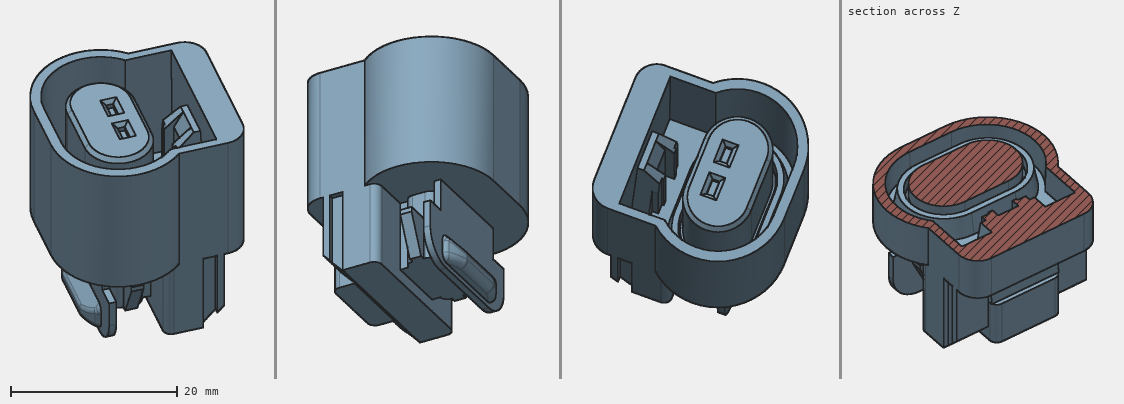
import cadquery as cq


SHROUD_HEIGHT = 17.6
HALF_STRAIGHT = 3.28
SHROUD_RADIUS = 8.53
BOX_HALF_WIDTH = 9.7
BOX_BACK = 14.6
BOX_CORNER_RADIUS = 2.8

FLOOR_Z = 2.0
CAVITY_BACK = 10.7
CAVITY_HALF_WIDTH_TOP = 8.62
CAVITY_HALF_WIDTH_FLOOR = 8.38
CAVITY_RADIUS_TOP = 7.22
CAVITY_RADIUS_FLOOR = 7.12
CAVITY_STRAIGHT_FLOOR = 3.08

CORE_RADIUS = 4.25
CORE_TOP = 16.5
CORE_CHAMFER = 0.55
CORE_FOOT_RADIUS = 4.57
CORE_FOOT_TOP = 4.0
RING_INNER_RADIUS = 4.8
RING_OUTER_RADIUS = 6.12
RING_TOP = 5.0
RING_TOP_RADIUS = 5.58

TERMINAL_X = 2.22
TERMINAL_Y = 1.08
FUNNEL_SIZE = (3.05, 2.05)
TERMINAL_SIZE = (2.0, 0.9)
FUNNEL_DEPTH = 0.5
TERMINAL_DEPTH = 1.1

LATCH_TOP = 13.9
LATCH_TOP_HALF_WIDTH = 2.5
LATCH_HALF_WIDTH = 4.75
LATCH_TOP_FRONT = 9.85
LATCH_SHOULDER_FRONT = 8.5
LATCH_ARM_FRONT = 7.7
LATCH_ARM_HALF_WIDTH = 3.3
LATCH_LIP_FRONT = 7.45
LATCH_LIP_HALF_WIDTH = 2.1
LATCH_NOTCH_HALF_WIDTH = 1.48
LATCH_NOTCH_BACK = 8.65
LATCH_RAMP_BOTTOM = 11.8

BLOCK_FRONT = 3.87
BLOCK_BACK = 11.35
BLOCK_BOTTOM = -10.97
BLOCK_CORNER_RADIUS = 1.05
BLOCK_CHAMFER_Y = 2.68
BLOCK_CHAMFER_Z = 2.85
GROOVE_FRONT = 8.67
GROOVE_BACK = 10.45
GROOVE_DEPTH = 0.7

HANDLE_HALF_WIDTH = 5.0
HANDLE_BACK = 12.72
HANDLE_FRONT = 9.6
HANDLE_TOP = -4.1
HANDLE_BOTTOM = -10.1
HANDLE_CORNER_RADIUS = 1.05
HANDLE_ARM_BACK_TOP = 11.75
HANDLE_ARM_BACK_BOTTOM = 12.1

BODY_BOTTOM = -9.3
BODY_FRONT = -1.45
BODY_BACK = 2.8
BODY_HALF_WIDTH = 4.95
BODY_FRONT_RADIUS = 1.45
BODY_BACK_RADIUS = 1.13
WEB_HALF_WIDTH = 4.0

RIB_HALF_WIDTH = 8.0
RIB_FOOT_HALF_WIDTH = 5.6
RIB_TOP = -3.65
RIB_EDGE_BOTTOM = -4.3
RIB_FRONT = 0.13
RIB_BACK = 1.67

TAB_BACK = -2.2
TAB_FRONT = -3.12
TAB_NECK_HALF_WIDTH = 6.6
TAB_HALF_WIDTH = 9.22
TAB_SHOULDER_Z = -4.3
TAB_BOTTOM = -11.7
TAB_CORNER_RADIUS = 3.9
GRIP_HALF_WIDTH = 6.2
GRIP_FACE_HALF_WIDTH = 3.3
GRIP_FRONT = -4.93
GRIP_SIDE_FRONT = -3.6
GRIP_BOW = 0.2
GRIP_TOP = -7.25
GRIP_RAMP_BOTTOM = -9.05
GRIP_BOTTOM = -11.0
GRIP_BOTTOM_RADIUS = 1.0
GRIP_RAMP_RADIUS = 0.8
GRIP_SIDE_RADIUS = 0.7


def box(x_range, y_range, z_range):
    """Axis-aligned box between the given limits."""
    size = [high - low for low, high in (x_range, y_range, z_range)]
    corner = (x_range[0], y_range[0], z_range[0])
    return cq.Workplane("XY").box(*size, centered=False).translate(corner)


def oval(radius, bottom, top):
    """Upright oval column with semicircular ends in X."""
    length = 2 * (HALF_STRAIGHT + radius)
    return cq.Workplane("XY", origin=(0, 0, bottom)).slot2D(length, 2 * radius).extrude(top - bottom)


def across_x(points, half_width):
    """Prism with a (Y, Z) outline, symmetric about X = 0."""
    return cq.Workplane("YZ").polyline(points).close().extrude(half_width, both=True)


def along_y(points, front, back):
    """Prism with an (X, Z) outline between two Y positions."""
    return cq.Workplane("XZ", origin=(0, back, 0)).polyline(points).close().extrude(back - front)


def make_shroud():
    """Outer wall: an oval merged with the latch box."""
    latch_box = box((-BOX_HALF_WIDTH, BOX_HALF_WIDTH), (0, BOX_BACK), (0, SHROUD_HEIGHT))
    latch_box = latch_box.edges("|Z and >Y").fillet(BOX_CORNER_RADIUS)
    return oval(SHROUD_RADIUS, 0, SHROUD_HEIGHT).union(latch_box)


def make_cavity():
    """Drafted space inside the shroud."""
    top_length = 2 * (HALF_STRAIGHT + CAVITY_RADIUS_TOP)
    floor_length = 2 * (CAVITY_STRAIGHT_FLOOR + CAVITY_RADIUS_FLOOR)
    oval_space = (
        cq.Workplane("XY", origin=(0, 0, FLOOR_Z))
        .slot2D(floor_length, 2 * CAVITY_RADIUS_FLOOR)
        .workplane(offset=SHROUD_HEIGHT - FLOOR_Z)
        .slot2D(top_length, 2 * CAVITY_RADIUS_TOP)
        .loft(ruled=True)
    )
    box_outline = [
        (-CAVITY_HALF_WIDTH_FLOOR, FLOOR_Z),
        (CAVITY_HALF_WIDTH_FLOOR, FLOOR_Z),
        (CAVITY_HALF_WIDTH_TOP, SHROUD_HEIGHT),
        (-CAVITY_HALF_WIDTH_TOP, SHROUD_HEIGHT),
    ]
    return oval_space.union(along_y(box_outline, 0, CAVITY_BACK))


def make_core():
    """Chamfered mating core on a slightly wider foot."""
    core = oval(CORE_RADIUS, FLOOR_Z, CORE_TOP).faces(">Z").chamfer(CORE_CHAMFER)
    return core.union(oval(CORE_FOOT_RADIUS, FLOOR_Z, CORE_FOOT_TOP))


def make_ring():
    """Seal ring with a drafted outside, standing on the cavity floor around the core."""
    height = RING_TOP - FLOOR_Z
    ring = (
        cq.Workplane("XY", origin=(0, 0, FLOOR_Z))
        .slot2D(2 * (HALF_STRAIGHT + RING_OUTER_RADIUS), 2 * RING_OUTER_RADIUS)
        .workplane(offset=height)
        .slot2D(2 * (HALF_STRAIGHT + RING_TOP_RADIUS), 2 * RING_TOP_RADIUS)
        .loft(ruled=True)
    )
    return ring.cut(oval(RING_INNER_RADIUS, FLOOR_Z, RING_TOP))


def make_terminal_opening(x):
    """Funnel and straight pocket for one terminal."""
    funnel = (
        cq.Workplane("XY", origin=(x, TERMINAL_Y, CORE_TOP))
        .rect(*FUNNEL_SIZE)
        .workplane(offset=-FUNNEL_DEPTH)
        .rect(*TERMINAL_SIZE)
        .loft(ruled=True)
    )
    pocket = (
        cq.Workplane("XY", origin=(x, TERMINAL_Y, CORE_TOP - TERMINAL_DEPTH))
        .rect(*TERMINAL_SIZE)
        .extrude(TERMINAL_DEPTH)
    )
    return funnel.union(pocket)


def make_latch_head():
    """Tapered latch head with a sloped, notched front."""
    back = CAVITY_BACK
    taper = along_y(
        [
            (-LATCH_HALF_WIDTH, FLOOR_Z),
            (LATCH_HALF_WIDTH, FLOOR_Z),
            (LATCH_TOP_HALF_WIDTH, LATCH_TOP),
            (-LATCH_TOP_HALF_WIDTH, LATCH_TOP),
        ],
        LATCH_LIP_FRONT,
        back,
    )
    height = (FLOOR_Z, LATCH_TOP)
    footprint = box((-LATCH_HALF_WIDTH, LATCH_HALF_WIDTH), (LATCH_SHOULDER_FRONT, back), height)
    steps = ((LATCH_ARM_HALF_WIDTH, LATCH_ARM_FRONT), (LATCH_LIP_HALF_WIDTH, LATCH_LIP_FRONT))
    for half_width, front in steps:
        footprint = footprint.union(box((-half_width, half_width), (front, back), height))

    def side_profile(front):
        """(Y, Z) outline with the sloped front ending at the given Y."""
        return [
            (back, FLOOR_Z),
            (back, LATCH_TOP),
            (LATCH_TOP_FRONT, LATCH_TOP),
            (front, LATCH_RAMP_BOTTOM),
            (front, FLOOR_Z),
        ]

    ramped = across_x(side_profile(LATCH_LIP_FRONT), LATCH_HALF_WIDTH)
    notch = box(
        (-LATCH_NOTCH_HALF_WIDTH, LATCH_NOTCH_HALF_WIDTH),
        (LATCH_LIP_FRONT, back),
        height,
    ).cut(across_x(side_profile(LATCH_NOTCH_BACK), LATCH_NOTCH_HALF_WIDTH))
    return taper.intersect(footprint).intersect(ramped).cut(notch)


def make_rear_block():
    """Block under the latch box with grooved sides and a chamfered rear foot."""
    block = box((-BOX_HALF_WIDTH, BOX_HALF_WIDTH), (BLOCK_FRONT, BLOCK_BACK), (BLOCK_BOTTOM, 0))
    block = block.edges("|Z and <Y").fillet(BLOCK_CORNER_RADIUS)
    foot_corner = across_x(
        [
            (BLOCK_BACK, BLOCK_BOTTOM),
            (BLOCK_BACK, BLOCK_BOTTOM + BLOCK_CHAMFER_Z),
            (BLOCK_BACK - BLOCK_CHAMFER_Y, BLOCK_BOTTOM),
        ],
        BOX_HALF_WIDTH,
    )
    block = block.cut(foot_corner)
    groove_floor = BOX_HALF_WIDTH - GROOVE_DEPTH
    for x_range in ((-BOX_HALF_WIDTH, -groove_floor), (groove_floor, BOX_HALF_WIDTH)):
        block = block.cut(box(x_range, (GROOVE_FRONT, GROOVE_BACK), (BLOCK_BOTTOM, 0)))
    return block


def make_handle():
    """Latch handle hanging on a sloped arm behind the rear block."""
    grip = box(
        (-HANDLE_HALF_WIDTH, HANDLE_HALF_WIDTH),
        (HANDLE_FRONT, HANDLE_BACK),
        (HANDLE_BOTTOM, HANDLE_TOP),
    )
    grip = grip.edges("|Z and >Y").fillet(HANDLE_CORNER_RADIUS)
    arm = across_x(
        [
            (HANDLE_FRONT, 0),
            (HANDLE_ARM_BACK_TOP, 0),
            (HANDLE_ARM_BACK_BOTTOM, HANDLE_TOP),
            (HANDLE_FRONT, HANDLE_TOP),
        ],
        HANDLE_HALF_WIDTH,
    )
    return grip.union(arm)


def make_terminal_body():
    """Rounded terminal body, its web to the block and tab, and its side ribs."""
    body = box((-BODY_HALF_WIDTH, BODY_HALF_WIDTH), (BODY_FRONT, BODY_BACK), (BODY_BOTTOM, 0))
    body = body.edges("|Z and <Y").fillet(BODY_FRONT_RADIUS)
    body = body.edges("|Z and >Y").fillet(BODY_BACK_RADIUS)
    web = box((-WEB_HALF_WIDTH, WEB_HALF_WIDTH), (TAB_BACK, BLOCK_FRONT), (BODY_BOTTOM, 0))
    ribs = along_y(
        [
            (-RIB_FOOT_HALF_WIDTH, BODY_BOTTOM),
            (RIB_FOOT_HALF_WIDTH, BODY_BOTTOM),
            (RIB_HALF_WIDTH, RIB_EDGE_BOTTOM),
            (RIB_HALF_WIDTH, RIB_TOP),
            (-RIB_HALF_WIDTH, RIB_TOP),
            (-RIB_HALF_WIDTH, RIB_EDGE_BOTTOM),
        ],
        RIB_FRONT,
        RIB_BACK,
    )
    return body.union(web).union(ribs)


def make_tab():
    """Front tab: a neck widening into a plate with rounded lower corners."""
    depth = (TAB_FRONT, TAB_BACK)
    plate = box((-TAB_HALF_WIDTH, TAB_HALF_WIDTH), depth, (TAB_BOTTOM, TAB_SHOULDER_Z))
    plate = plate.edges("|Y and <Z").fillet(TAB_CORNER_RADIUS)
    neck = box((-TAB_NECK_HALF_WIDTH, TAB_NECK_HALF_WIDTH), depth, (TAB_SHOULDER_Z, 0))
    return plate.union(neck)


def make_grip():
    """Finger grip on the tab: sloped top, bowed ends and rounded edges."""
    bow_x = (GRIP_HALF_WIDTH + GRIP_FACE_HALF_WIDTH) / 2
    bow_y = (GRIP_SIDE_FRONT + GRIP_FRONT) / 2 - GRIP_BOW
    plan = (
        cq.Workplane("XY", origin=(0, 0, GRIP_BOTTOM))
        .moveTo(-GRIP_HALF_WIDTH, TAB_BACK)
        .lineTo(-GRIP_HALF_WIDTH, GRIP_SIDE_FRONT)
        .threePointArc((-bow_x, bow_y), (-GRIP_FACE_HALF_WIDTH, GRIP_FRONT))
        .lineTo(GRIP_FACE_HALF_WIDTH, GRIP_FRONT)
        .threePointArc((bow_x, bow_y), (GRIP_HALF_WIDTH, GRIP_SIDE_FRONT))
        .lineTo(GRIP_HALF_WIDTH, TAB_BACK)
        .close()
        .extrude(GRIP_TOP - GRIP_BOTTOM)
    )
    above_ramp = across_x(
        [
            (TAB_FRONT, GRIP_TOP),
            (GRIP_FRONT, GRIP_TOP),
            (GRIP_FRONT, GRIP_RAMP_BOTTOM),
        ],
        GRIP_HALF_WIDTH,
    )
    grip = plan.cut(above_ramp)
    grip = grip.edges("|Z and (not >Y)").fillet(GRIP_SIDE_RADIUS)
    grip = grip.faces("<Z").edges("not >Y").fillet(GRIP_BOTTOM_RADIUS)
    ramp_normal = cq.Vector(0, GRIP_RAMP_BOTTOM - GRIP_TOP, TAB_FRONT - GRIP_FRONT)
    ramp = grip.faces(cq.selectors.ParallelDirSelector(ramp_normal))
    return ramp.edges("not >Z").fillet(GRIP_RAMP_RADIUS)


result = make_shroud().cut(make_cavity())
for feature in (
    make_core(),
    make_ring(),
    make_latch_head(),
    make_rear_block(),
    make_handle(),
    make_terminal_body(),
    make_tab(),
    make_grip(),
):
    result = result.union(feature)
for terminal_x in (-TERMINAL_X, TERMINAL_X):
    result = result.cut(make_terminal_opening(terminal_x))